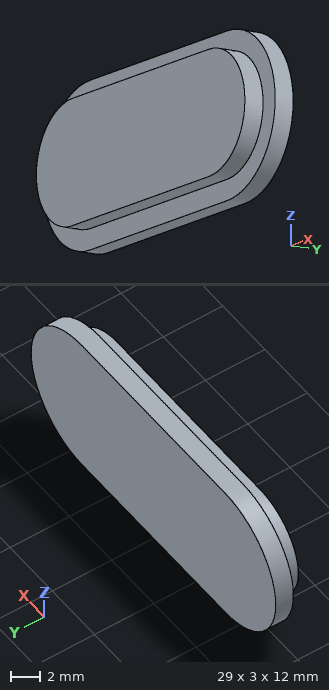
import cadquery as cq

length = 29.0
height = 12.0
depth = 3.0
rim_width = 1.5

layer_depth = depth / 2
pad_length = length - 2 * rim_width
pad_height = height - 2 * rim_width


def rounded_plate(plate_length, plate_height, back_y):
    """Plate with semicircular ends, growing from back_y toward -Y."""
    return (
        cq.Workplane("XZ", origin=(0, back_y, 0))
        .slot2D(plate_length, plate_height)
        .extrude(layer_depth)
    )


flange = rounded_plate(length, height, layer_depth)
pad = rounded_plate(pad_length, pad_height, 0)

result = flange.union(pad)